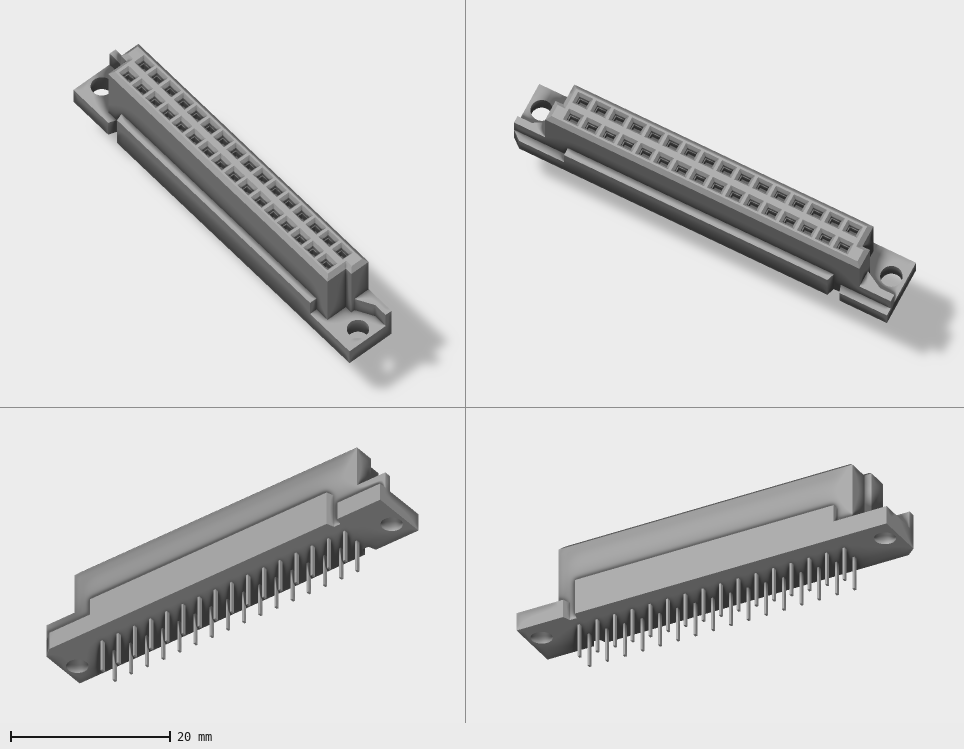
import cadquery as cq
import math

length = 53.2
width = 8.05
half_length = length / 2
half_width = width / 2

flange_height = 2.55
wall_height = 4.95
wall_thickness = 1.05
wall_right_end = 19.0
rear_corner_x = 1.3

notch_x = -19.05
notch_inner_width = 0.95
notch_outer_width = 1.7

housing_top = 11.45
housing_half_width = half_width - wall_thickness
housing_rear_half_length = 22.2
housing_front_half_length = 21.15
step_y = 0.08
rim_chamfer = 0.6

tab_inner_y = 1.95
tab_corner_x = 24.6
tab_slope_angle = 29.5

hole_x = 24.7
hole_y = -0.95
hole_diameter = 2.8

contact_columns = 16
contact_span = 38.1
contact_pitch = contact_span / (contact_columns - 1)
row_y = contact_pitch / 2
contact_points = [
    ((column - (contact_columns - 1) / 2) * contact_pitch, y)
    for column in range(contact_columns)
    for y in (-row_y, row_y)
]

mouth_length = 2.15
mouth_width = 1.65
mouth_depth = 0.5
throat_length = 1.45
throat_width = 0.95
throat_depth = 0.55
well_length = 1.15
well_width = 0.8
well_depth = 1.05

pin_thickness = 0.295
pin_width = 0.505
pin_length = 4.65
pin_root = 0.55


def block(x_min, x_max, y_min, y_max, height):
    """Upright box standing on Z = 0."""
    return (
        cq.Workplane("XY")
        .box(x_max - x_min, y_max - y_min, height, centered=False)
        .translate((x_min, y_min, 0))
    )


def make_base():
    """Flange with a cut rear right corner and the two raised side walls."""
    outline = [
        (-half_length, -half_width),
        (half_length, -half_width),
        (half_length, housing_half_width),
        (half_length - rear_corner_x, half_width),
        (-half_length, half_width),
    ]
    base = cq.Workplane("XY").polyline(outline).close().extrude(flange_height)
    for y_min in (-half_width, housing_half_width):
        base = base.union(block(notch_x, wall_right_end, y_min, y_min + wall_thickness, wall_height))
    return base


def make_housing():
    """Stepped housing with a chamfered upper rim."""
    rear, front = housing_rear_half_length, housing_front_half_length
    outline = [
        (-rear, housing_half_width),
        (rear, housing_half_width),
        (rear, step_y),
        (front, step_y),
        (front, -housing_half_width),
        (-front, -housing_half_width),
        (-front, step_y),
        (-rear, step_y),
    ]
    housing = cq.Workplane("XY").polyline(outline).close().extrude(housing_top)
    return housing.faces(">Z").chamfer(rim_chamfer)


def make_tab(side):
    """Raised tab at the left (side = -1) or right (side = 1) end."""
    slope_run = tab_corner_x - housing_rear_half_length
    tab_housing_y = tab_inner_y - slope_run * math.tan(math.radians(tab_slope_angle))
    outline = [
        (side * half_length, housing_half_width),
        (side * half_length, tab_inner_y),
        (side * tab_corner_x, tab_inner_y),
        (side * housing_rear_half_length, tab_housing_y),
        (side * housing_rear_half_length, housing_half_width),
    ]
    return cq.Workplane("XY").polyline(outline).close().extrude(wall_height)


def make_notch(side):
    """Cutter for the notch in the front (side = -1) or rear (side = 1) wall."""
    outline = [
        (notch_x - notch_outer_width / 2, side * half_width),
        (notch_x + notch_outer_width / 2, side * half_width),
        (notch_x + notch_inner_width / 2, side * housing_half_width),
        (notch_x - notch_inner_width / 2, side * housing_half_width),
    ]
    return cq.Workplane("XY").polyline(outline).close().extrude(wall_height)


def make_socket():
    """Cutter for one socket, centred on the origin with its mouth at the housing top."""
    throat_top = housing_top - mouth_depth
    mouth = (
        cq.Workplane("XY", origin=(0, 0, housing_top))
        .rect(mouth_length, mouth_width)
        .workplane(offset=-mouth_depth)
        .rect(throat_length, throat_width)
        .loft(ruled=True)
    )
    throat = (
        cq.Workplane("XY", origin=(0, 0, throat_top))
        .rect(throat_length, throat_width)
        .extrude(-throat_depth)
    )
    well = (
        cq.Workplane("XY", origin=(0, 0, throat_top - throat_depth))
        .rect(well_length, well_width)
        .extrude(-well_depth)
    )
    return mouth.union(throat).union(well)


body = make_base().union(make_housing())
for side in (-1, 1):
    body = body.union(make_tab(side))

for side in (-1, 1):
    body = body.cut(make_notch(side))

holes = (
    cq.Workplane("XY")
    .pushPoints([(-hole_x, hole_y), (hole_x, hole_y)])
    .circle(hole_diameter / 2)
    .extrude(wall_height)
)
body = body.cut(holes)

socket = make_socket().val()
sockets = cq.Workplane("XY").pushPoints(contact_points).eachpoint(lambda place: socket.moved(place))
body = body.cut(sockets)

pins = (
    cq.Workplane("XY", origin=(0, 0, pin_root))
    .pushPoints(contact_points)
    .rect(pin_thickness, pin_width)
    .extrude(-pin_root - pin_length)
)
result = body.union(pins)